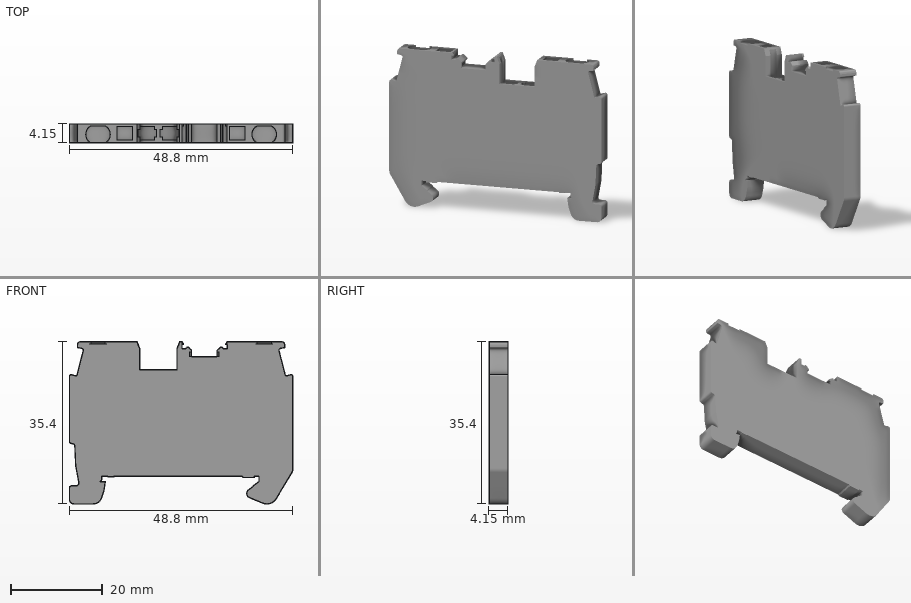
import cadquery as cq
import math

length = 48.8
width = 4.15
height = 35.4

head_inset = 1.78
head_tip_z = 34.1
neck_inset = 3.13
neck_z = 33.87
neck_radius = 0.4
shoulder_valley_inset = 1.6
shoulder_valley_z = 27.9
shoulder_z = 28.4
shoulder_radius = 0.45
head_slant_z = 34.75
head_slant_run = 0.2
head_top_radius = 0.5
small_radius = 0.2

slot_left = 15.42
slot_right = 23.45
slot_floor_z = 29.33
lead_in_z = 33.8
lead_in_run = 0.62

post_right = 24.6
right_head_left = 34.43
ledge_z = 33.92
bead_z = 34.25
bead_foot_width = 0.85
bead_width = 0.55
bead_rise_run = 0.27
channel_left = 26.7
channel_right = 32.2
lip_top_z = 33.5
lip_bottom_z = 33.2
channel_floor_z = 32.15
undercut_depth = 0.46
back_web = 0.45

barb_reach = 0.35
barb_tip_z = 34.9
barb_bottom_z = 34.8
barb_width = 0.45

base_z = 6.05
left_pad_start = 8.45
left_pad_end = 9.75
left_pad_drop = 0.12
right_pad_start = 37.65
right_pad_end = 40.37
right_pad_drop = 0.28
rail_lip_z = 4.9
rail_wall_left = 7.1
rail_wall_right = 41.38

right_chamfer_z = 7.25
right_chamfer_radius = 1.5
right_foot_apex = (44.1, -0.617)
right_foot_radius = 2.4
right_hook_tip = (37.7, 2.05)
right_hook_tip_radius = 1.0
right_hook_step_x = 40.15
right_hook_step_z = 4.0
right_hook_step_run = 0.1
right_hook_step_drop = 0.2

rail_wall_left_bottom_z = 5.3
rail_groove_x = 6.8
left_hook_tip_x = 7.88
left_hook_bend = (7.6, 2.9)
left_hook_bend_radius = 6.0
left_hook_base_x = 6.6
left_hook_base_radius = 2.0
left_foot_bottom_radius = 1.05
left_foot_top_z = 4.02
left_foot_top_radius = 0.58
left_flank_base_x = 2.18
left_flank_base_radius = 0.52
left_flank_bend = (1.38, 8.4)
left_flank_bend_radius = 1.5
left_flank_top = (1.17, 13.0)
left_flank_top_radius = 0.4
left_step_z = 13.32
left_step_radius = 0.45

pocket_depth = 0.45
oval_center_inset = 6.27
oval_flat_length = 3.1
oval_length = 5.35
oval_back_margin = 0.45
square_length = 3.45
square_width = 2.85
square_center_y = 2.1
square_centers_x = (12.1, 36.65)

jumper_width = 2.85
jumper_length = 3.15
jumper_tab_width = 1.65
jumper_tab_depth = 0.47


def rounded_outline(corners):
    """Closed XZ outline; a corner is (x, z), or (x, z, radius) to round it."""
    pieces = []
    for index, corner in enumerate(corners):
        point = cq.Vector(corner[0], corner[1])
        if len(corner) == 2 or corner[2] == 0:
            pieces.append((point,))
            continue
        before = corners[index - 1]
        after = corners[(index + 1) % len(corners)]
        to_before = (cq.Vector(before[0], before[1]) - point).normalized()
        to_after = (cq.Vector(after[0], after[1]) - point).normalized()
        half_angle = to_before.getAngle(to_after) / 2
        radius = corner[2]
        setback = radius / math.tan(half_angle)
        arc_gap = radius / math.sin(half_angle) - radius
        middle = point + (to_before + to_after).normalized() * arc_gap
        pieces.append((point + to_before * setback, middle, point + to_after * setback))

    outline = cq.Workplane("XZ").moveTo(*pieces[0][-1].toTuple()[:2])
    for piece in pieces[1:] + pieces[:1]:
        outline = outline.lineTo(*piece[0].toTuple()[:2])
        if len(piece) > 1:
            outline = outline.threePointArc(piece[1].toTuple()[:2], piece[2].toTuple()[:2])
    return outline.close()


def box(x_min, x_max, y_min, y_max, z_min, z_max):
    """Axis-aligned block between the given limits."""
    size = (x_max - x_min, y_max - y_min, z_max - z_min)
    return cq.Workplane("XY").box(*size, centered=False).translate((x_min, y_min, z_min))


def body():
    """Full-width plate with the complete side outline."""
    sharp = 0
    left_end = [
        (0, shoulder_z, shoulder_radius),
        (shoulder_valley_inset, shoulder_valley_z, small_radius),
        (neck_inset, neck_z, neck_radius),
        (head_inset, head_tip_z, small_radius),
        (head_inset, head_slant_z, sharp),
        (head_inset + head_slant_run, height, head_top_radius),
    ]
    right_end = [(length - x, z, radius) for x, z, radius in reversed(left_end)]
    slot_and_post = [
        (slot_left - lead_in_run, height),
        (slot_left, lead_in_z),
        (slot_left, slot_floor_z),
        (slot_right, slot_floor_z),
        (slot_right, lead_in_z),
        (slot_right + lead_in_run, height),
        (post_right, height),
    ]
    left_foot_of_bead = post_right + bead_foot_width
    right_foot_of_bead = right_head_left - bead_foot_width
    channel = [
        (post_right, ledge_z),
        (left_foot_of_bead, ledge_z),
        (left_foot_of_bead + bead_rise_run, bead_z),
        (left_foot_of_bead + bead_width, bead_z),
        (channel_left, lip_top_z),
        (channel_left, channel_floor_z),
        (channel_right, channel_floor_z),
        (channel_right, lip_top_z),
        (right_foot_of_bead - bead_width, bead_z),
        (right_foot_of_bead - bead_rise_run, bead_z),
        (right_foot_of_bead, ledge_z),
        (right_head_left, ledge_z),
        (right_head_left, height),
    ]
    right_foot = [
        (length, right_chamfer_z, right_chamfer_radius),
        (*right_foot_apex, right_foot_radius),
        (*right_hook_tip, right_hook_tip_radius),
        (right_hook_step_x - right_hook_step_run, right_hook_step_z - right_hook_step_drop),
        (right_hook_step_x, right_hook_step_z),
        (rail_wall_right, rail_lip_z),
    ]
    underside = [
        (rail_wall_right, base_z),
        (right_pad_end, base_z),
        (right_pad_end, base_z - right_pad_drop),
        (right_pad_start + right_pad_drop, base_z - right_pad_drop),
        (right_pad_start, base_z),
        (left_pad_end, base_z),
        (left_pad_end, base_z - left_pad_drop),
        (left_pad_start, base_z - left_pad_drop),
        (left_pad_start, base_z),
        (rail_wall_left, base_z),
    ]
    left_foot = [
        (rail_wall_left, rail_wall_left_bottom_z),
        (rail_groove_x, rail_lip_z),
        (left_hook_tip_x, rail_lip_z),
        (*left_hook_bend, left_hook_bend_radius),
        (left_hook_base_x, 0, left_hook_base_radius),
        (0, 0, left_foot_bottom_radius),
        (0, left_foot_top_z, left_foot_top_radius),
        (left_flank_base_x, left_foot_top_z, left_flank_base_radius),
        (*left_flank_bend, left_flank_bend_radius),
        (*left_flank_top, left_flank_top_radius),
        (0, left_step_z, left_step_radius),
    ]
    corners = left_end + slot_and_post + channel + right_end + right_foot + underside + left_foot
    return rounded_outline(corners).extrude(-width)


def channel_undercuts():
    """Recesses below both channel lips, open at the front and closed by a thin web at the back."""
    y_max = width - back_web
    left = box(channel_left - undercut_depth, channel_left, 0, y_max, channel_floor_z, lip_bottom_z)
    right = box(channel_right, channel_right + undercut_depth, 0, y_max, channel_floor_z, lip_bottom_z)
    return left.union(right)


def barb(wall_x, direction):
    """Small triangular catch on a wall; direction is +1 to point to +X, -1 to -X."""
    tip_x = wall_x + direction * barb_reach
    profile = [(wall_x, height), (tip_x, barb_tip_z), (tip_x, barb_bottom_z), (wall_x, barb_bottom_z)]
    back_plane = cq.Workplane("XZ", origin=(0, width, 0))
    return back_plane.polyline(profile).close().extrude(barb_width)


def oval_pocket(center_x):
    """Recess with two flat sides and bowed ends, reaching the front face."""
    half_flat = oval_flat_length / 2
    half_length = oval_length / 2
    back_y = width - oval_back_margin
    middle_y = back_y / 2
    return (
        cq.Workplane("XY", origin=(center_x, 0, height - pocket_depth))
        .moveTo(-half_flat, 0)
        .lineTo(half_flat, 0)
        .threePointArc((half_length, middle_y), (half_flat, back_y))
        .lineTo(-half_flat, back_y)
        .threePointArc((-half_length, middle_y), (-half_flat, 0))
        .close()
        .extrude(pocket_depth)
    )


def square_pocket(center_x):
    """Rectangular recess in a head top."""
    center = (center_x, square_center_y, height - pocket_depth)
    return cq.Workplane("XY", origin=center).rect(square_length, square_width).extrude(pocket_depth)


def jumper_pocket(wall_x, direction):
    """Floor recess beside a slot wall, a tab at its far end and a groove up the wall."""
    floor_z = slot_floor_z - pocket_depth
    far_x = wall_x + direction * jumper_length
    tab_x = far_x + direction * jumper_tab_depth
    groove_x = wall_x - direction * jumper_tab_depth
    half_width = jumper_width / 2
    half_tab = jumper_tab_width / 2
    y = square_center_y
    main = box(*sorted((wall_x, far_x)), y - half_width, y + half_width, floor_z, slot_floor_z)
    tab = box(*sorted((far_x, tab_x)), y - half_tab, y + half_tab, floor_z, slot_floor_z)
    groove = box(*sorted((groove_x, wall_x)), y - half_tab, y + half_tab, floor_z, height)
    return main.union(tab).union(groove)


result = body().cut(channel_undercuts())
result = result.union(barb(post_right, 1)).union(barb(right_head_left, -1))
for oval_x in (oval_center_inset, length - oval_center_inset):
    result = result.cut(oval_pocket(oval_x))
for square_x in square_centers_x:
    result = result.cut(square_pocket(square_x))
result = result.cut(jumper_pocket(slot_left, 1)).cut(jumper_pocket(slot_right, -1))